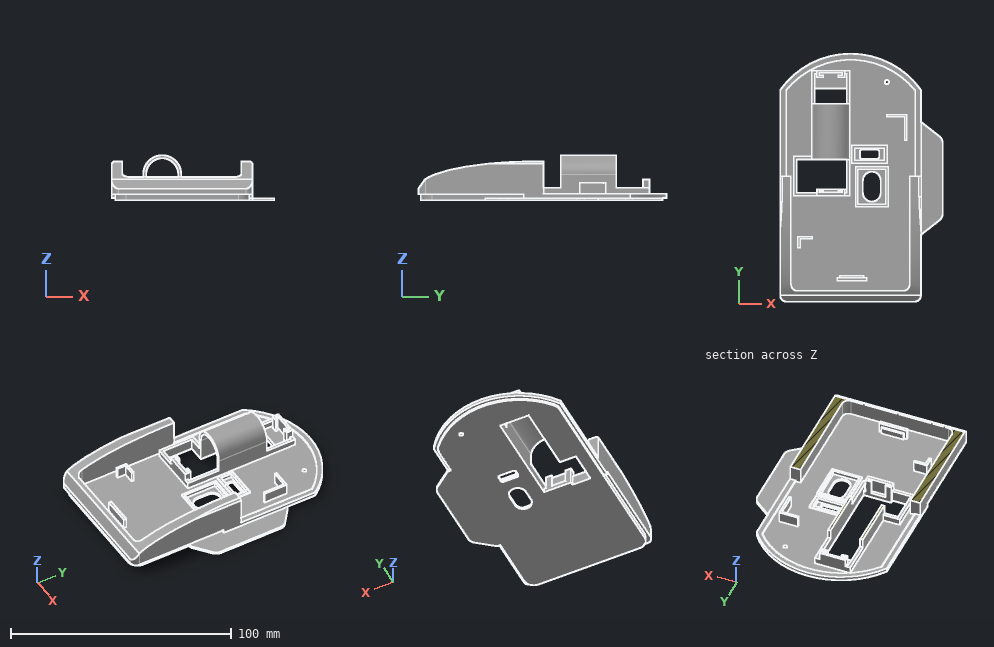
import cadquery as cq
import math


LENGTH = 112.8
BODY_WIDTH = 64.0
HALF_WIDTH = BODY_WIDTH / 2
SHOULDER_Y = 96.2
CORNER_RADIUS = 3.0

SKIN_Z = 1.0
FLOOR_Z = 2.5
LEDGE_Z = 2.7
RIM_Z = 3.0
FRAME_Z = 5.8
POST_Z = 9.5

FOOT_INSET = 1.6
FOOT_FRONT_INSET = 1.0
FOOT_REAR_INSET = 1.8
FOOT_SHOULDER_Y = 95.7
FOOT_RADIUS = 5.0
OVERHANG_REAR_Y = 47.8

TAB_REACH = 42.0
TAB_ROOT_FRONT_Y = 30.5
TAB_ROOT_REAR_Y = 81.8
TAB_TAPER = 7.8
TAB_RADIUS = 4.4

SHELL_REAR_Y = 57.0
SHELL_Z = 17.7
SHELL_CHAMFER = 1.0
CURVE_LENGTH = 53.0
CURVE_DROP = 12.2
NOSE_Z = 5.3
CAVITY_LEFT = -27.1
CAVITY_RIGHT = 26.8
CAVITY_FRONT_Y = 5.0
CAVITY_RADIUS = 3.0

RIM_WIDTH = 2.7
RIM_REAR_WIDTH = 2.8
RIM_SHOULDER_Y = 96.1

FRAME_WALL = 1.5
BAY_LEFT = -17.7
BAY_RIGHT = -0.3
BAY_FRONT_Y = 48.2
BAY_REAR_Y = 105.0
SIDE_BAY_LEFT = -25.8
SIDE_BAY_REAR_Y = 66.1
SHELF_FRONT_Y = 96.9
COVER_FRONT_Y = SIDE_BAY_REAR_Y - FRAME_WALL
COVER_REAR_Y = 90.0
COVER_TOP_Z = 20.5
COVER_RADIUS = (BAY_RIGHT - BAY_LEFT) / 2

HOLDER_LEFT = -15.3
HOLDER_RIGHT = -2.7
HOLDER_SIDE = 1.0
HOOK_LENGTH = 1.8
REAR_HOLDER_BACK = 1.0
REAR_HOLDER_GAP = 1.0
REAR_HOLDER_LIP = 1.0
FRONT_HOLDER_BACK = 1.6
FRONT_HOLDER_GAP = 0.8
FRONT_HOLDER_LIP = 0.7
FRONT_HOLDER_DEPTH = FRONT_HOLDER_BACK + FRONT_HOLDER_GAP + FRONT_HOLDER_LIP

BORDER_Z = 3.0

WINDOW_BOX_LEFT = 0.6
WINDOW_BOX_RIGHT = 16.7
WINDOW_BOX_FRONT_Y = 63.0
WINDOW_BOX_REAR_Y = 71.0
WINDOW_BOX_WALL = 1.4
WINDOW_LENGTH = 8.7
WINDOW_WIDTH = 4.2
WINDOW_RADIUS = 0.9

SLOT_BOX_LEFT = 2.3
SLOT_BOX_RIGHT = 17.0
SLOT_BOX_FRONT_Y = 43.3
SLOT_BOX_REAR_Y = 61.3
SLOT_BOX_WALL = 1.0
SLOT_LENGTH = 13.5
SLOT_WIDTH = 8.0

RIB = 1.0
RIB_Z = 7.9
REAR_RIB_X = 25.6
REAR_RIB_Y = 85.0
REAR_RIB_ACROSS = 9.1
REAR_RIB_ALONG = 11.7
FRONT_RIB_X = -23.9
FRONT_RIB_Y = 29.7
FRONT_RIB_ACROSS = 6.4
FRONT_RIB_ALONG = 5.2

STOP_CENTER_X = 0.6
STOP_LENGTH = 13.4
STOP_FRONT_Y = 9.7
STOP_REAR_Y = 11.0
STOP_Z = 7.5
STOP_LEDGE_LENGTH = 10.9
STOP_LEDGE_REAR_Y = 11.8
STOP_LEDGE_Z = 5.8

PIN_HOLE_DIAMETER = 1.8
PIN_HOLE_X = 16.5
PIN_HOLE_Y = 99.8


def box(left, right, front, rear, bottom, top):
    """Block between two limits on each axis."""
    return cq.Workplane("XY").box(
        right - left, rear - front, top - bottom, centered=False
    ).translate((left, front, bottom))


def outline(half_width, front, rear, shoulder, bottom, top):
    """Prism with straight sides, a square front and an arched rear end."""
    return (
        cq.Workplane("XY", origin=(0, 0, bottom))
        .moveTo(-half_width, front)
        .lineTo(half_width, front)
        .lineTo(half_width, shoulder)
        .threePointArc((0, rear), (-half_width, shoulder))
        .close()
        .extrude(top - bottom)
    )


def foot_plate():
    half_width = HALF_WIDTH - FOOT_INSET
    rear = LENGTH - FOOT_REAR_INSET
    plate = outline(half_width, FOOT_FRONT_INSET, rear, FOOT_SHOULDER_Y, 0, LEDGE_Z)
    return plate.edges("|Z").fillet(FOOT_RADIUS)


def base_body():
    slab = outline(HALF_WIDTH, 0, LENGTH, SHOULDER_Y, SKIN_Z, RIM_Z)
    slab = slab.edges("|Z and <Y").fillet(CORNER_RADIUS)
    return slab.cut(box(-HALF_WIDTH, HALF_WIDTH, 0, OVERHANG_REAR_Y, 0, LEDGE_Z))


def side_tab():
    points = [
        (0, TAB_ROOT_FRONT_Y),
        (HALF_WIDTH, TAB_ROOT_FRONT_Y),
        (TAB_REACH, TAB_ROOT_FRONT_Y + TAB_TAPER),
        (TAB_REACH, TAB_ROOT_REAR_Y - TAB_TAPER),
        (HALF_WIDTH, TAB_ROOT_REAR_Y),
        (0, TAB_ROOT_REAR_Y),
    ]
    return cq.Workplane("XY").polyline(points).close().extrude(SKIN_Z).edges("|Z and >X").fillet(TAB_RADIUS)


def shell():
    block = box(-HALF_WIDTH, HALF_WIDTH, 0, SHELL_REAR_Y, LEDGE_Z, SHELL_Z)
    block = block.edges("|Z and <Y").fillet(CORNER_RADIUS)
    block = block.faces(">Z").edges("|Y").chamfer(SHELL_CHAMFER)
    rear_angle = math.degrees(math.acos((SHELL_REAR_Y - CURVE_LENGTH) / CURVE_LENGTH))
    knee_angle = math.degrees(math.acos((CORNER_RADIUS - CURVE_LENGTH) / CURVE_LENGTH))
    profile = (
        cq.Workplane("YZ", origin=(-HALF_WIDTH, 0, 0))
        .moveTo(SHELL_REAR_Y, 0)
        .lineTo(SHELL_REAR_Y, SHELL_Z - CURVE_DROP * (1 - math.sin(math.radians(rear_angle))))
        .ellipseArc(CURVE_LENGTH, CURVE_DROP, rear_angle, knee_angle)
        .lineTo(0, NOSE_Z)
        .lineTo(0, 0)
        .close()
        .extrude(BODY_WIDTH)
    )
    return block.intersect(profile)


def floor_recess():
    cavity = box(CAVITY_LEFT, CAVITY_RIGHT, CAVITY_FRONT_Y, SHELL_REAR_Y, FLOOR_Z, SHELL_Z)
    cavity = cavity.edges("|Z and <Y").fillet(CAVITY_RADIUS)
    half_width = HALF_WIDTH - RIM_WIDTH
    rear = LENGTH - RIM_REAR_WIDTH
    return cavity.union(outline(half_width, SHELL_REAR_Y, rear, RIM_SHOULDER_Y, FLOOR_Z, RIM_Z))


def bay_prism(inset, bottom, top):
    """L-shaped prism of the battery bay, shrunk by inset on all sides."""
    long_part = box(
        BAY_LEFT + inset, BAY_RIGHT - inset, BAY_FRONT_Y + inset, BAY_REAR_Y - inset, bottom, top
    )
    side_part = box(
        SIDE_BAY_LEFT + inset, BAY_RIGHT - inset, BAY_FRONT_Y + inset, SIDE_BAY_REAR_Y - inset, bottom, top
    )
    return long_part.union(side_part)


def cover():
    """Half-round cover standing on the long walls of the bay."""
    axis_x = (BAY_LEFT + BAY_RIGHT) / 2
    axis_z = COVER_TOP_Z - COVER_RADIUS

    def arch(radius):
        return (
            cq.Workplane("XZ", origin=(axis_x, COVER_REAR_Y, 0))
            .moveTo(-radius, FLOOR_Z)
            .lineTo(-radius, axis_z)
            .threePointArc((0, axis_z + radius), (radius, axis_z))
            .lineTo(radius, FLOOR_Z)
            .close()
            .extrude(COVER_REAR_Y - COVER_FRONT_Y)
        )

    return arch(COVER_RADIUS).cut(arch(COVER_RADIUS - FRAME_WALL))


def add_contact_holder(part, back_y, facing, back, gap, lip):
    """Add a C-shaped holder; facing is +1 when it opens toward +Y and -1 toward -Y."""

    def slab(left, right, start, end):
        near, far = sorted((back_y + facing * start, back_y + facing * end))
        return box(left, right, near, far, FLOOR_Z, POST_Z)

    depth = back + gap + lip
    pocket_left = HOLDER_LEFT + HOLDER_SIDE
    pocket_right = HOLDER_RIGHT - HOLDER_SIDE
    part = part.union(slab(HOLDER_LEFT, HOLDER_RIGHT, 0, depth))
    part = part.cut(slab(pocket_left, pocket_right, back, back + gap))
    return part.cut(slab(pocket_left + HOOK_LENGTH, pocket_right - HOOK_LENGTH, back, depth))


def corner_rib(corner_x, corner_y, x_length, y_length):
    """L-shaped rib running from its corner; x_length is signed, the other leg runs toward -Y."""
    near_x, far_x = sorted((corner_x, corner_x + x_length))
    side = math.copysign(RIB, x_length)
    leg_left, leg_right = sorted((corner_x, corner_x + side))
    across = box(near_x, far_x, corner_y - RIB, corner_y, FLOOR_Z, RIB_Z)
    return across.union(box(leg_left, leg_right, corner_y - y_length, corner_y, FLOOR_Z, RIB_Z))


def add_bordered_box(part, left, right, front, rear, wall):
    """Add a raised rectangular border whose inside is sunk to the skin."""
    part = part.union(box(left, right, front, rear, SKIN_Z, BORDER_Z))
    return part.cut(box(left + wall, right - wall, front + wall, rear - wall, SKIN_Z, BORDER_Z))


def add_windows(part):
    limits = (WINDOW_BOX_LEFT, WINDOW_BOX_RIGHT, WINDOW_BOX_FRONT_Y, WINDOW_BOX_REAR_Y)
    part = add_bordered_box(part, *limits, WINDOW_BOX_WALL)
    window = (
        cq.Workplane("XY")
        .center((WINDOW_BOX_LEFT + WINDOW_BOX_RIGHT) / 2, (WINDOW_BOX_FRONT_Y + WINDOW_BOX_REAR_Y) / 2)
        .rect(WINDOW_LENGTH, WINDOW_WIDTH)
        .extrude(FLOOR_Z)
        .edges("|Z")
        .fillet(WINDOW_RADIUS)
    )
    part = part.cut(window)

    limits = (SLOT_BOX_LEFT, SLOT_BOX_RIGHT, SLOT_BOX_FRONT_Y, SLOT_BOX_REAR_Y)
    part = add_bordered_box(part, *limits, SLOT_BOX_WALL)
    slot = (
        cq.Workplane("XY")
        .center((SLOT_BOX_LEFT + SLOT_BOX_RIGHT) / 2, (SLOT_BOX_FRONT_Y + SLOT_BOX_REAR_Y) / 2)
        .slot2D(SLOT_LENGTH, SLOT_WIDTH, 90)
        .extrude(FLOOR_Z)
    )
    return part.cut(slot)


def stop_bar():
    half_length = STOP_LENGTH / 2
    half_ledge = STOP_LEDGE_LENGTH / 2
    bar = box(
        STOP_CENTER_X - half_length, STOP_CENTER_X + half_length, STOP_FRONT_Y, STOP_REAR_Y, FLOOR_Z, STOP_Z
    )
    ledge = box(
        STOP_CENTER_X - half_ledge,
        STOP_CENTER_X + half_ledge,
        STOP_REAR_Y,
        STOP_LEDGE_REAR_Y,
        FLOOR_Z,
        STOP_LEDGE_Z,
    )
    return bar.union(ledge)


def add_battery_bay(part):
    rear_shelf = box(BAY_LEFT, BAY_RIGHT, SHELF_FRONT_Y, BAY_REAR_Y, 0, FLOOR_Z)
    front_shelf = box(HOLDER_LEFT, BAY_RIGHT, BAY_FRONT_Y, BAY_FRONT_Y + FRONT_HOLDER_DEPTH, 0, FLOOR_Z)
    opening = bay_prism(FRAME_WALL, 0, FRAME_Z).cut(rear_shelf).cut(front_shelf)
    part = part.union(bay_prism(0, FLOOR_Z, FRAME_Z)).cut(opening).union(cover())
    part = add_contact_holder(part, BAY_REAR_Y, -1, REAR_HOLDER_BACK, REAR_HOLDER_GAP, REAR_HOLDER_LIP)
    return add_contact_holder(part, BAY_FRONT_Y, 1, FRONT_HOLDER_BACK, FRONT_HOLDER_GAP, FRONT_HOLDER_LIP)


def pin_hole():
    return cq.Workplane("XY").center(PIN_HOLE_X, PIN_HOLE_Y).circle(PIN_HOLE_DIAMETER / 2).extrude(RIM_Z)


body = foot_plate().union(base_body()).union(side_tab()).union(shell()).cut(floor_recess())
body = add_battery_bay(body)
body = add_windows(body)
body = body.union(corner_rib(REAR_RIB_X, REAR_RIB_Y, -REAR_RIB_ACROSS, REAR_RIB_ALONG))
body = body.union(corner_rib(FRONT_RIB_X, FRONT_RIB_Y, FRONT_RIB_ACROSS, FRONT_RIB_ALONG))
body = body.union(stop_bar())
result = body.cut(pin_hole())